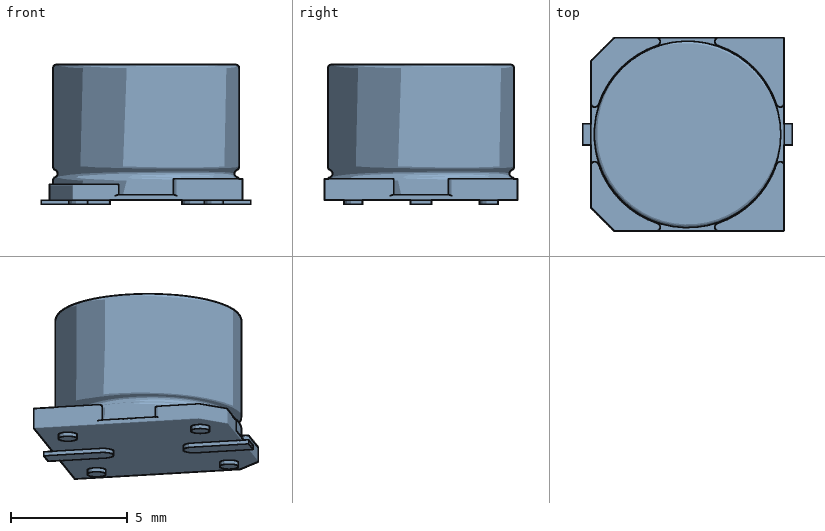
import cadquery as cq
import math

overall_length = 9.0
overall_height = 6.0
base_width = 8.3
can_diameter = 8.0

standoff = 0.18
floor_z = 0.405
low_corner_z = 0.87
tall_corner_z = 1.1
corner_cut = 1.01
edge_round = 0.05
tip_radius = 0.17
can_clearance = 0.03

can_round = 0.16
neck_depth = 0.2
neck_height = 0.59
neck_z = 1.32

lead_width = 0.92
lead_inner_x = 1.54
foot_diameter = 0.8
foot_offset = 2.91

half_base = base_width / 2
can_radius = can_diameter / 2


def base_outline(height):
    """Square base prism with its two -X corners cut off."""
    return (
        cq.Workplane("XY")
        .workplane(offset=standoff)
        .rect(base_width, base_width)
        .extrude(height)
        .edges("|Z and <X")
        .chamfer(corner_cut)
        .edges("|Z")
        .fillet(edge_round)
        .faces("<Z")
        .edges()
        .fillet(edge_round)
    )


def corner_region(side_x, side_y, top_z):
    """Prism over one corner: wraps the can and ends in two round tips at the slots."""
    inner_radius = can_radius + can_clearance
    tip_y = half_base - tip_radius
    tip_distance = inner_radius + tip_radius
    tip_x = math.sqrt(tip_distance**2 - tip_y**2)
    touch_x = tip_x * inner_radius / tip_distance
    touch_y = tip_y * inner_radius / tip_distance
    diagonal = inner_radius / math.sqrt(2)

    arc_angle = (math.pi / 2 + math.atan2(tip_y, tip_x) + math.pi) / 2
    arc_x = tip_x + tip_radius * math.cos(arc_angle)
    arc_y = tip_y + tip_radius * math.sin(arc_angle)

    def at(x, y):
        return (side_x * x, side_y * y)

    return (
        cq.Workplane("XY")
        .workplane(offset=standoff)
        .moveTo(*at(tip_x, half_base))
        .threePointArc(at(arc_x, arc_y), at(touch_x, touch_y))
        .threePointArc(at(diagonal, diagonal), at(touch_y, touch_x))
        .threePointArc(at(arc_y, arc_x), at(half_base, tip_x))
        .lineTo(*at(half_base, half_base))
        .close()
        .extrude(top_z - standoff)
    )


def make_base():
    """Slotted plate with four corner blocks of two heights."""
    base = base_outline(floor_z - standoff).faces(">Z").edges().fillet(edge_round)
    for side_x, top_z in ((-1, low_corner_z), (1, tall_corner_z)):
        body = base_outline(top_z - standoff)
        for side_y in (-1, 1):
            block = body.intersect(corner_region(side_x, side_y, top_z))
            base = base.union(block.faces(">Z").edges().fillet(edge_round))
    return base


def make_can():
    """Turned can with a rounded top edge and a rolled neck above the base."""
    neck_radius = can_radius - neck_depth
    lip_radius = can_radius - neck_depth / 2
    lip_offset = neck_height / 4
    lower_lip_z = neck_z - lip_offset
    upper_lip_z = neck_z + lip_offset
    neck_bottom_z = neck_z - neck_height / 2
    neck_top_z = neck_z + neck_height / 2
    return (
        cq.Workplane("XZ")
        .moveTo(0, standoff + edge_round)
        .lineTo(can_radius, standoff + edge_round)
        .lineTo(can_radius, neck_bottom_z)
        .tangentArcPoint((lip_radius, lower_lip_z), relative=False)
        .threePointArc((neck_radius, neck_z), (lip_radius, upper_lip_z))
        .tangentArcPoint((can_radius, neck_top_z), relative=False)
        .lineTo(can_radius, overall_height - can_round)
        .tangentArcPoint((can_radius - can_round, overall_height), relative=False)
        .lineTo(0, overall_height)
        .close()
        .revolve(360, (0, 0, 0), (0, 1, 0))
    )


def make_lead(side):
    """Flat lead under the base, round at its inner end."""
    half_width = lead_width / 2
    round_x = lead_inner_x + half_width
    return (
        cq.Workplane("XY")
        .moveTo(side * overall_length / 2, half_width)
        .lineTo(side * round_x, half_width)
        .threePointArc((side * lead_inner_x, 0), (side * round_x, -half_width))
        .lineTo(side * overall_length / 2, -half_width)
        .close()
        .extrude(standoff)
    )


def make_feet():
    """Four round feet in a square pattern."""
    spacing = 2 * foot_offset
    return (
        cq.Workplane("XY")
        .rect(spacing, spacing, forConstruction=True)
        .vertices()
        .circle(foot_diameter / 2)
        .extrude(standoff)
    )


result = make_base().union(make_can()).union(make_feet())
for side in (-1, 1):
    result = result.union(make_lead(side))